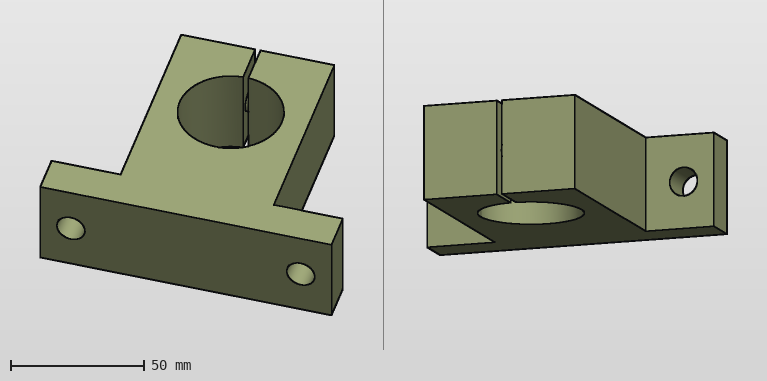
import cadquery as cq

base_width = 114.0
base_thickness = 15.2
total_depth = 96.0
height = 36.0

block_width = 60.0
bore_diameter = 40.0
bore_y = 60.0

slit_width = 2.0
screw_diameter = 8.0
screw_from_end = 9.3

mount_hole_diameter = 11.0
mount_hole_spacing = 90.0


def make_body():
    """T-shaped body: wide flange with the clamp block behind it."""
    flange = cq.Workplane("XY").box(base_width, base_thickness, height, centered=(True, False, False))
    block = cq.Workplane("XY").box(block_width, total_depth, height, centered=(True, False, False))
    return flange.union(block)


def make_bore():
    return cq.Workplane("XY").center(0, bore_y).circle(bore_diameter / 2).extrude(height)


def make_slit():
    """Slit from the bore centre out through the end of the block."""
    return (
        cq.Workplane("XY")
        .box(slit_width, total_depth - bore_y, height, centered=(True, False, False))
        .translate((0, bore_y, 0))
    )


def make_screw_shank():
    """Cylinder along X that joins the two faces of the slit at mid height."""
    return (
        cq.Workplane("YZ")
        .center(total_depth - screw_from_end, height / 2)
        .circle(screw_diameter / 2)
        .extrude(slit_width / 2, both=True)
    )


def make_mount_holes():
    """Pair of holes along Y through the flange."""
    return (
        cq.Workplane("XZ")
        .pushPoints([(side * mount_hole_spacing / 2, height / 2) for side in (-1, 1)])
        .circle(mount_hole_diameter / 2)
        .extrude(-base_thickness)
    )


result = (
    make_body()
    .cut(make_bore())
    .cut(make_slit())
    .cut(make_mount_holes())
    .union(make_screw_shank())
)